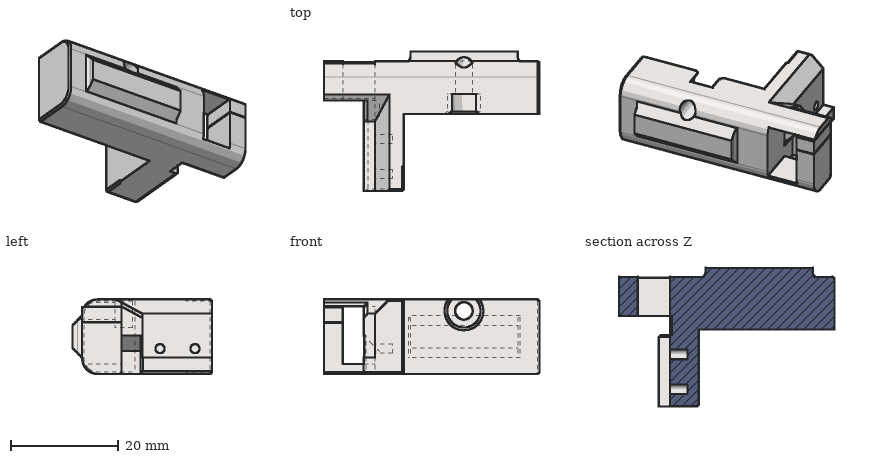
import cadquery as cq
import math

LENGTH = 40.2
HEIGHT = 13.95
REAR_Y = 24.2
REAR_RADIUS = 2.95
LEFT_FRONT_Y = 16.85
RIGHT_FRONT_Y = 14.3
EDGE_CHAMFER = 0.35
CLEAR = 2.0

ARM_LEFT = 7.4
ARM_RIGHT = 14.9
ARM_SEAT_X = 9.52
LEDGE_Z = 3.15
SEAT_END_Y = 12.98
SEAT_TOP_Z = 11.25
LOWER_LEFT_RUN = 0.8
LOWER_LEFT_RISE = 0.6
SIDE_CHAMFER_END_Y = 4.82

RELIEF_REAR_Y = 17.95
RELIEF_SLOPE = (HEIGHT - SEAT_TOP_Z) / (RELIEF_REAR_Y - SEAT_END_Y)
LIP_CHAMFER = 0.75

WINDOW_LEFT = 3.55
WINDOW_RIGHT = 9.52
WINDOW_BOTTOM = 1.93

BLOCK_BOTTOM = 9.7
BLOCK_HEIGHT = 2.8
BLOCK_GAP = 0.1
BLOCK_TOP = BLOCK_BOTTOM + BLOCK_HEIGHT
WINDOW_TOP = BLOCK_TOP + BLOCK_GAP

UNDERCUT_FRONT_Y = 13.35
UNDERCUT_SHELF_Z = 4.25
UNDERCUT_TOP_Z = 7.2
UNDERCUT_DEPTH_X = ARM_LEFT + UNDERCUT_TOP_Z - UNDERCUT_SHELF_Z
UNDERCUT_CHAMFER = 0.5

RIDGE_LEFT = 16.1
RIDGE_RIGHT = 36.12
RIDGE_Y = 26.0
RIDGE_MID_Z = HEIGHT / 2
RIDGE_TIP_HEIGHT = 4.2
RIDGE_BASE_HEIGHT = RIDGE_TIP_HEIGHT + 2 * (RIDGE_Y - REAR_Y)
FLARE_RADIUS = 1.2
FLARE_ANGLE = math.radians(45)

SCREW_X = 26.08
SCREW_Z = 11.77
SCREW_DIAMETER = 3.2
COUNTERBORE_DIAMETER = 6.2
COUNTERBORE_END_Y = 18.05
COUNTERBORE_CHAMFER = 0.52

SEAT_HOLE_DIAMETER = 1.7
SEAT_HOLE_DEPTH = 3.2
SEAT_HOLE_Z = 4.75
SEAT_HOLE_YS = (3.17, 9.7)


def box(x0, x1, y0, y1, z0, z1):
    """Box between the given coordinate limits."""
    return cq.Workplane("XY").box(x1 - x0, y1 - y0, z1 - z0, centered=False).translate((x0, y0, z0))


def prism_x(points, x0, x1):
    """Closed (y, z) outline extruded from x0 to x1."""
    return cq.Workplane("YZ", origin=(x0, 0, 0)).polyline(points).close().extrude(x1 - x0)


def prism_y(points, y0, y1):
    """Closed (x, z) outline extruded from y0 to y1."""
    return cq.Workplane("XZ", origin=(0, y0, 0)).polyline(points).close().extrude(y0 - y1)


def relief_z(y):
    """Height of the sloped relief plane at a given y."""
    return HEIGHT - RELIEF_SLOPE * (RELIEF_REAR_Y - y)


def make_bar():
    left = box(0, ARM_RIGHT, LEFT_FRONT_Y, REAR_Y, 0, HEIGHT)
    right = box(ARM_LEFT, LENGTH, RIGHT_FRONT_Y, REAR_Y, 0, HEIGHT)
    bar = left.union(right).clean()
    bar = bar.edges("|X and >Y").fillet(REAR_RADIUS)
    bar = bar.faces(">X").edges("not <Y").chamfer(EDGE_CHAMFER)
    return bar.cut(make_front_bottom_chamfer())


def make_front_bottom_chamfer():
    return prism_x(
        [(LEFT_FRONT_Y, 0), (LEFT_FRONT_Y + EDGE_CHAMFER, 0), (LEFT_FRONT_Y, EDGE_CHAMFER)],
        0, WINDOW_RIGHT,
    )


def make_arm():
    arm = box(ARM_LEFT, ARM_RIGHT, 0, LEFT_FRONT_Y, 0, HEIGHT)
    arm = arm.faces("<Y").edges("not <X").chamfer(EDGE_CHAMFER)
    lower_left = [(ARM_LEFT, 0), (ARM_LEFT + LOWER_LEFT_RUN, 0), (ARM_LEFT, LOWER_LEFT_RISE)]
    arm = arm.cut(prism_y(lower_left, 0, LEFT_FRONT_Y))
    for edge_z, inward in ((HEIGHT, -1), (0, 1)):
        arm = arm.cut(make_side_chamfer(edge_z, inward))
    return arm


def make_side_chamfer(edge_z, inward):
    """Chamfer on a right-hand arm edge that stops at an angled end."""
    inner_x = ARM_RIGHT - EDGE_CHAMFER
    wedge = prism_y(
        [(ARM_RIGHT, edge_z), (inner_x, edge_z), (ARM_RIGHT, edge_z + inward * EDGE_CHAMFER)],
        0, SIDE_CHAMFER_END_Y,
    )
    extent = (
        cq.Workplane("XY")
        .polyline([
            (inner_x, 0),
            (ARM_RIGHT, 0),
            (ARM_RIGHT, SIDE_CHAMFER_END_Y),
            (inner_x, SIDE_CHAMFER_END_Y - EDGE_CHAMFER),
        ])
        .close()
        .extrude(HEIGHT)
    )
    return wedge.intersect(extent)


def make_ridge():
    """Trapezoidal ridge whose two ends flare out in arcs at the base."""
    tip = RIDGE_TIP_HEIGHT / 2
    base = RIDGE_BASE_HEIGHT / 2
    section = prism_x(
        [
            (REAR_Y, RIDGE_MID_Z - base),
            (RIDGE_Y, RIDGE_MID_Z - tip),
            (RIDGE_Y, RIDGE_MID_Z + tip),
            (REAR_Y, RIDGE_MID_Z + base),
        ],
        0, LENGTH,
    )

    def flare(angle):
        return FLARE_RADIUS * (1 - math.cos(angle))

    flare_y = REAR_Y + FLARE_RADIUS * math.sin(FLARE_ANGLE)
    half_y = flare_y - FLARE_RADIUS * math.sin(FLARE_ANGLE / 2)
    outline = (
        cq.Workplane("XY")
        .moveTo(RIDGE_LEFT, RIDGE_Y)
        .lineTo(RIDGE_LEFT, flare_y)
        .threePointArc(
            (RIDGE_LEFT - flare(FLARE_ANGLE / 2), half_y),
            (RIDGE_LEFT - flare(FLARE_ANGLE), REAR_Y),
        )
        .lineTo(RIDGE_RIGHT + flare(FLARE_ANGLE), REAR_Y)
        .threePointArc(
            (RIDGE_RIGHT + flare(FLARE_ANGLE / 2), half_y),
            (RIDGE_RIGHT, flare_y),
        )
        .lineTo(RIDGE_RIGHT, RIDGE_Y)
        .close()
        .extrude(HEIGHT)
    )
    return section.intersect(outline)


def make_relief():
    """Space above both the bar slope and the 45 degree arm slope."""
    above_bar_slope = prism_x(
        [
            (RELIEF_REAR_Y, HEIGHT),
            (-CLEAR, relief_z(-CLEAR)),
            (-CLEAR, HEIGHT),
        ],
        -CLEAR, ARM_RIGHT,
    )
    top_x = ARM_SEAT_X + HEIGHT - SEAT_TOP_Z
    above_arm_slope = prism_y(
        [
            (-CLEAR, SEAT_TOP_Z),
            (ARM_SEAT_X, SEAT_TOP_Z),
            (top_x, HEIGHT),
            (-CLEAR, HEIGHT),
        ],
        -CLEAR, RELIEF_REAR_Y,
    )
    return above_bar_slope.intersect(above_arm_slope)


def make_seat_pocket():
    return box(ARM_LEFT - CLEAR, ARM_SEAT_X, -CLEAR, SEAT_END_Y, LEDGE_Z, SEAT_TOP_Z)


def make_lip_chamfer():
    """Chamfer between the inner arm face and the sloped relief."""
    def section(y):
        top_z = relief_z(y)
        points = [
            (ARM_LEFT, top_z - LIP_CHAMFER),
            (ARM_LEFT + LIP_CHAMFER, top_z),
            (ARM_LEFT, top_z),
        ]
        return cq.Wire.makePolygon([cq.Vector(x, y, z) for x, z in points], close=True)

    return cq.Workplane(cq.Solid.makeLoft([section(SEAT_END_Y), section(LEFT_FRONT_Y)], True))


def make_window():
    return box(WINDOW_LEFT, WINDOW_RIGHT, LEFT_FRONT_Y, REAR_Y + CLEAR, WINDOW_BOTTOM, WINDOW_TOP)


def make_block_slot():
    return box(
        -CLEAR, WINDOW_LEFT,
        LEFT_FRONT_Y - CLEAR, REAR_Y + CLEAR,
        BLOCK_BOTTOM - BLOCK_GAP, WINDOW_TOP,
    )


def make_undercut():
    cavity = prism_y(
        [
            (ARM_LEFT, 0),
            (WINDOW_RIGHT, 0),
            (WINDOW_RIGHT, UNDERCUT_SHELF_Z),
            (UNDERCUT_DEPTH_X, UNDERCUT_SHELF_Z),
            (ARM_LEFT, UNDERCUT_TOP_Z),
        ],
        UNDERCUT_FRONT_Y, LEFT_FRONT_Y,
    )
    lead_in = (
        cq.Workplane("XY")
        .polyline([
            (ARM_LEFT, UNDERCUT_FRONT_Y - UNDERCUT_CHAMFER),
            (ARM_LEFT + UNDERCUT_CHAMFER, UNDERCUT_FRONT_Y),
            (ARM_LEFT, UNDERCUT_FRONT_Y),
        ])
        .close()
        .extrude(UNDERCUT_TOP_Z)
    )
    return cavity.union(lead_in)


def make_screw_hole():
    """Through hole, counterbore and entry chamfer as one turned tool."""
    hole_r = SCREW_DIAMETER / 2
    bore_r = COUNTERBORE_DIAMETER / 2
    return (
        cq.Workplane("XY")
        .polyline([
            (0, RIGHT_FRONT_Y),
            (bore_r + COUNTERBORE_CHAMFER, RIGHT_FRONT_Y),
            (bore_r, RIGHT_FRONT_Y + COUNTERBORE_CHAMFER),
            (bore_r, COUNTERBORE_END_Y),
            (hole_r, COUNTERBORE_END_Y),
            (hole_r, RIDGE_Y + CLEAR),
            (0, RIDGE_Y + CLEAR),
        ])
        .close()
        .revolve(360, (0, 0, 0), (0, 1, 0))
        .translate((SCREW_X, 0, SCREW_Z))
    )


def make_seat_holes():
    return (
        cq.Workplane("YZ", origin=(ARM_SEAT_X, 0, 0))
        .pushPoints([(y, SEAT_HOLE_Z) for y in SEAT_HOLE_YS])
        .circle(SEAT_HOLE_DIAMETER / 2)
        .extrude(SEAT_HOLE_DEPTH)
    )


def make_housing():
    housing = make_bar().union(make_arm()).union(make_ridge())
    cutters = (
        make_relief(),
        make_seat_pocket(),
        make_lip_chamfer(),
        make_window(),
        make_block_slot(),
        make_undercut(),
        make_screw_hole(),
        make_seat_holes(),
    )
    for cutter in cutters:
        housing = housing.cut(cutter)
    return housing


def make_block():
    return box(0, WINDOW_LEFT, LEFT_FRONT_Y, REAR_Y, BLOCK_BOTTOM, BLOCK_TOP)


housing = make_housing()
block = make_block()
result = cq.Compound.makeCompound([housing.solids().val(), block.val()])